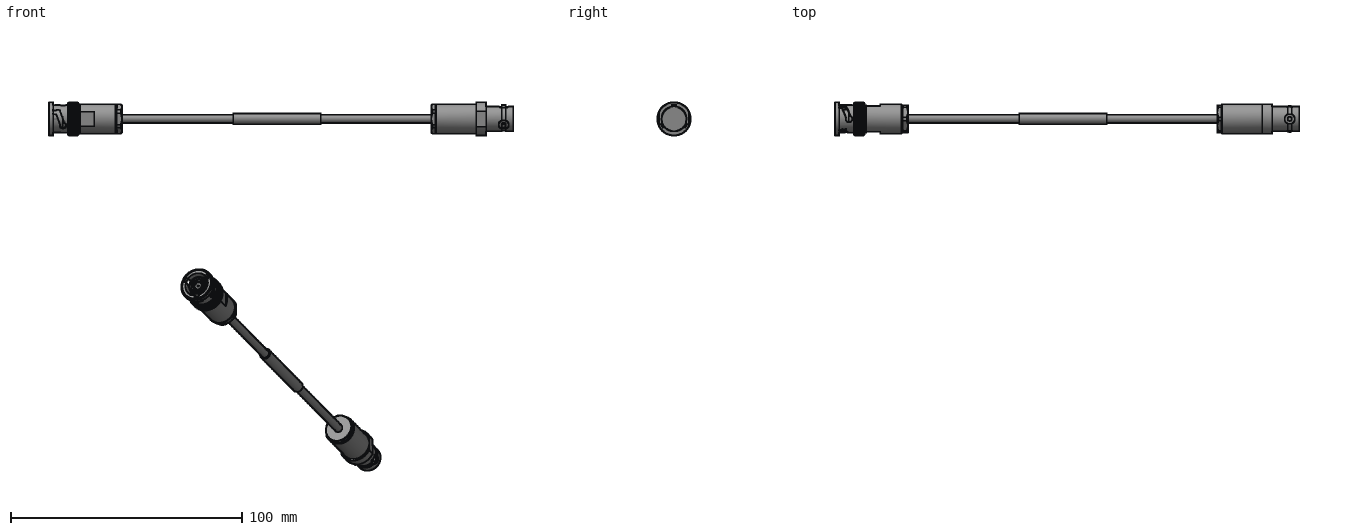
import cadquery as cq
import math


TOTAL_LENGTH = 200.9
LARGEST_RADIUS = 7.2
BODY_RADIUS = 6.5
LUG_COUNT = 3
LUG_PITCH = 360 / LUG_COUNT

CABLE_RADIUS = 1.8
TUBE_RADIUS = 2.5
TUBE_START = 79.7
TUBE_END = 117.7

RIM_LENGTH = 2.0
RIM_CHAMFER_WIDTH = 0.6
RIM_CHAMFER_LENGTH = 0.2
COUPLING_BARREL_RADIUS = 6.0
COUPLING_BORE_RADIUS = 5.2
KNURL_START = 8.2
KNURL_END = 13.0
KNURL_CHAMFER = 0.6
COUPLING_END = 13.7
KNURL_GROOVE_COUNT = 52
KNURL_GROOVE_DEPTH = 0.6
KNURL_GROOVE_WIDTH = 0.6

SLOT_WIDTH = 2.0
SLOT_DEPTH_RADIUS = 6.2
SLOT_ENTRY_ANGLE = 30.0
SLOT_TURN = 60.0
SLOT_ENTRY_LENGTH = 5.0
SLOT_END_X = 6.2
SLOT_END_RADIUS = 1.5

BODY_FACE_X = 6.0
PLUG_BODY_END = 29.1
FLAT_END = 19.7
PLUG_FLAT_DISTANCE = 5.6
BODY_END_CHAMFER = 0.5
NECK_RADIUS = 4.8
SHELL_FACE_X = 1.2
SHELL_RADIUS = 4.0
SHELL_BORE_RADIUS = 3.6
INSERT_FACE_X = 1.8
INSERT_RADIUS = 3.0
INSERT_BORE_RADIUS = 2.2
PIN_RADIUS = 1.6
PIN_BORE_RADIUS = 0.5
PIN_BORE_DEPTH = 2.0
INSERT_END_X = 10.0

HEX_SIDES = 6
NUT_ACROSS_FLATS = 11.9
NUT_CHAMFER = 0.6
PLUG_NUT_START = 29.5
PLUG_NUT_END = 31.7
JACK_NUT_START = 165.3
JACK_NUT_END = 167.1

COLLAR_START = 184.8
COLLAR_END = 189.0
COLLAR_FLAT_DISTANCE = 6.5
JACK_BARREL_RADIUS = 5.5
LUG_X = 196.7
LUG_RADIUS = 0.9
LUG_TIP_RADIUS = 6.0
LUG_FIRST_ANGLE = 90.0
SPOTFACE_RADIUS = 2.2
SPOTFACE_DISTANCE = 4.8
LUG_GROOVE_RADIUS = 5.2


def cylinder(start, end, radius, bore=0.0):
    """Round bar or tube along X, with its seam on the top."""
    plane = cq.Plane(origin=(start, 0, 0), xDir=(0, 0, 1), normal=(1, 0, 0))
    bar = cq.Workplane(plane).circle(radius)
    if bore:
        bar = bar.circle(bore)
    return bar.extrude(end - start)


def turned(profile):
    """Solid of revolution about X from (x, radius) points, with its seam on the -Y side."""
    points = [(x, -radius) for x, radius in profile]
    return cq.Workplane("XY").polyline(points).close().revolve(360, (0, 0, 0), (1, 0, 0))


def turn_about_axis(shape, angle):
    """Turn a shape about X, from +Y towards +Z."""
    return shape.rotate((0, 0, 0), (1, 0, 0), angle)


def side_flat_cutters(start, end, distance):
    """Two blocks that leave parallel flats on the -Y and +Y sides."""
    size = 2 * LARGEST_RADIUS
    middle = (start + end) / 2
    block = cq.Workplane("XY").box(end - start, size, size)
    offset = distance + size / 2
    return block.translate((middle, offset, 0)).union(block.translate((middle, -offset, 0)))


def bayonet_slot():
    """One slot: straight entry, slanted ramp and round end, cut outward from the bore."""
    entry = (
        cq.Workplane("XY")
        .box(SLOT_ENTRY_LENGTH, SLOT_DEPTH_RADIUS, SLOT_WIDTH, centered=(False, False, True))
    )
    entry = turn_about_axis(entry, SLOT_ENTRY_ANGLE)

    start_x = SLOT_ENTRY_LENGTH - SLOT_WIDTH / 2
    half_chord = COUPLING_BARREL_RADIUS * math.sin(math.radians(SLOT_TURN / 2))
    rise = SLOT_END_X - start_x
    slant = math.degrees(math.atan2(2 * half_chord, rise))
    ramp = (
        cq.Workplane("XZ")
        .center((start_x + SLOT_END_X) / 2, 0)
        .transformed(rotate=(0, 0, slant))
        .slot2D(math.hypot(rise, 2 * half_chord) + SLOT_WIDTH, SLOT_WIDTH)
        .extrude(-LARGEST_RADIUS)
    )
    ramp = turn_about_axis(ramp, SLOT_ENTRY_ANGLE + SLOT_TURN / 2)

    end_hole = cq.Workplane("XZ").center(SLOT_END_X, 0).circle(SLOT_END_RADIUS).extrude(-LARGEST_RADIUS)
    end_hole = turn_about_axis(end_hole, SLOT_ENTRY_ANGLE + SLOT_TURN)
    return entry.union(ramp).union(end_hole)


def knurl_grooves():
    """Pointed grooves along X, evenly spaced around the knurled band."""
    half_width = KNURL_GROOVE_WIDTH / 2
    outer_radius = LARGEST_RADIUS + KNURL_GROOVE_DEPTH
    groove = (
        cq.Workplane("YZ")
        .workplane(offset=KNURL_START)
        .polyline([
            (LARGEST_RADIUS - KNURL_GROOVE_DEPTH, 0),
            (LARGEST_RADIUS, half_width),
            (outer_radius, half_width),
            (outer_radius, -half_width),
            (LARGEST_RADIUS, -half_width),
        ])
        .close()
        .extrude(KNURL_END - KNURL_START)
    )
    pitch = 360 / KNURL_GROOVE_COUNT
    return [turn_about_axis(groove, i * pitch).val() for i in range(KNURL_GROOVE_COUNT)]


def make_coupling():
    knurl_edge = LARGEST_RADIUS - KNURL_CHAMFER
    coupling = turned([
        (0, COUPLING_BORE_RADIUS),
        (0, LARGEST_RADIUS - RIM_CHAMFER_WIDTH),
        (RIM_CHAMFER_LENGTH, LARGEST_RADIUS),
        (RIM_LENGTH, LARGEST_RADIUS),
        (RIM_LENGTH, COUPLING_BARREL_RADIUS),
        (KNURL_START, COUPLING_BARREL_RADIUS),
        (KNURL_START, knurl_edge),
        (KNURL_START + KNURL_CHAMFER, LARGEST_RADIUS),
        (KNURL_END - KNURL_CHAMFER, LARGEST_RADIUS),
        (KNURL_END, knurl_edge),
        (KNURL_END, COUPLING_BARREL_RADIUS),
        (COUPLING_END, COUPLING_BARREL_RADIUS),
        (COUPLING_END, COUPLING_BORE_RADIUS),
    ])
    for i in range(LUG_COUNT):
        coupling = coupling.cut(turn_about_axis(bayonet_slot(), i * LUG_PITCH))
    return cq.Workplane(coupling.val().cut(*knurl_grooves()))


def make_plug_body():
    body = turned([
        (SHELL_FACE_X, SHELL_BORE_RADIUS),
        (SHELL_FACE_X, SHELL_RADIUS),
        (BODY_FACE_X, SHELL_RADIUS),
        (BODY_FACE_X, COUPLING_BORE_RADIUS),
        (COUPLING_END, COUPLING_BORE_RADIUS),
        (COUPLING_END, BODY_RADIUS),
        (PLUG_BODY_END - BODY_END_CHAMFER, BODY_RADIUS),
        (PLUG_BODY_END, BODY_RADIUS - BODY_END_CHAMFER),
        (PLUG_BODY_END, NECK_RADIUS),
        (PLUG_NUT_START, NECK_RADIUS),
        (PLUG_NUT_START, 0),
        (INSERT_END_X, 0),
        (INSERT_END_X, INSERT_RADIUS),
        (BODY_FACE_X, INSERT_RADIUS),
        (BODY_FACE_X, SHELL_BORE_RADIUS),
    ])
    return body.cut(side_flat_cutters(COUPLING_END, FLAT_END, PLUG_FLAT_DISTANCE))


def make_insert():
    """Inner contact tube with the central pin, joined at the back."""
    return turned([
        (INSERT_FACE_X, INSERT_BORE_RADIUS),
        (INSERT_FACE_X, INSERT_RADIUS),
        (INSERT_END_X, INSERT_RADIUS),
        (INSERT_END_X, 0),
        (INSERT_FACE_X + PIN_BORE_DEPTH, 0),
        (INSERT_FACE_X + PIN_BORE_DEPTH, PIN_BORE_RADIUS),
        (INSERT_FACE_X, PIN_BORE_RADIUS),
        (INSERT_FACE_X, PIN_RADIUS),
        (BODY_FACE_X, PIN_RADIUS),
        (BODY_FACE_X, INSERT_BORE_RADIUS),
    ])


def make_nut(inner_x, outer_x):
    """Hexagonal nut with flats on the Y sides and a chamfer around its outer end."""
    start = min(inner_x, outer_x)
    end = max(inner_x, outer_x)
    corner_diameter = NUT_ACROSS_FLATS / math.cos(math.pi / HEX_SIDES)
    hexagon = (
        cq.Workplane(cq.Plane(origin=(start, 0, 0), xDir=(0, 0, 1), normal=(1, 0, 0)))
        .polygon(HEX_SIDES, corner_diameter)
        .extrude(end - start)
    )
    chamfer_x = outer_x + math.copysign(NUT_CHAMFER, inner_x - outer_x)
    envelope = turned([
        (inner_x, CABLE_RADIUS),
        (inner_x, BODY_RADIUS),
        (chamfer_x, BODY_RADIUS),
        (outer_x, BODY_RADIUS - NUT_CHAMFER),
        (outer_x, CABLE_RADIUS),
    ])
    return hexagon.intersect(envelope)


def make_jack_body():
    groove_start = LUG_X - LUG_RADIUS
    groove_end = LUG_X + LUG_RADIUS
    body = turned([
        (JACK_NUT_END, 0),
        (JACK_NUT_END, BODY_RADIUS - BODY_END_CHAMFER),
        (JACK_NUT_END + BODY_END_CHAMFER, BODY_RADIUS),
        (COLLAR_START, BODY_RADIUS),
        (COLLAR_START, LARGEST_RADIUS),
        (COLLAR_END, LARGEST_RADIUS),
        (COLLAR_END, JACK_BARREL_RADIUS),
        (groove_start, JACK_BARREL_RADIUS),
        (groove_start, LUG_GROOVE_RADIUS),
        (groove_end, LUG_GROOVE_RADIUS),
        (groove_end, JACK_BARREL_RADIUS),
        (TOTAL_LENGTH, JACK_BARREL_RADIUS),
        (TOTAL_LENGTH, 0),
    ])
    body = body.cut(side_flat_cutters(COLLAR_START, COLLAR_END, COLLAR_FLAT_DISTANCE))

    axis = cq.Workplane("XZ").center(LUG_X, 0)
    spotface = axis.workplane(offset=-SPOTFACE_DISTANCE).circle(SPOTFACE_RADIUS).extrude(-LUG_TIP_RADIUS)
    lug = axis.circle(LUG_RADIUS).extrude(-LUG_TIP_RADIUS)
    for i in range(LUG_COUNT):
        angle = LUG_FIRST_ANGLE + i * LUG_PITCH
        body = body.cut(turn_about_axis(spotface, angle))
        body = body.union(turn_about_axis(lug, angle))
    return body


coupling = make_coupling()
plug_body = make_plug_body()
insert = make_insert()
plug_nut = make_nut(PLUG_NUT_START, PLUG_NUT_END)
cable = cylinder(PLUG_NUT_START, JACK_NUT_END, CABLE_RADIUS)
marker_tube = cylinder(TUBE_START, TUBE_END, TUBE_RADIUS, CABLE_RADIUS)
jack_nut = make_nut(JACK_NUT_END, JACK_NUT_START)
jack_body = make_jack_body()

result = cq.Compound.makeCompound([
    coupling.val(),
    plug_body.val(),
    insert.val(),
    plug_nut.val(),
    cable.val(),
    marker_tube.val(),
    jack_nut.val(),
    jack_body.val(),
])